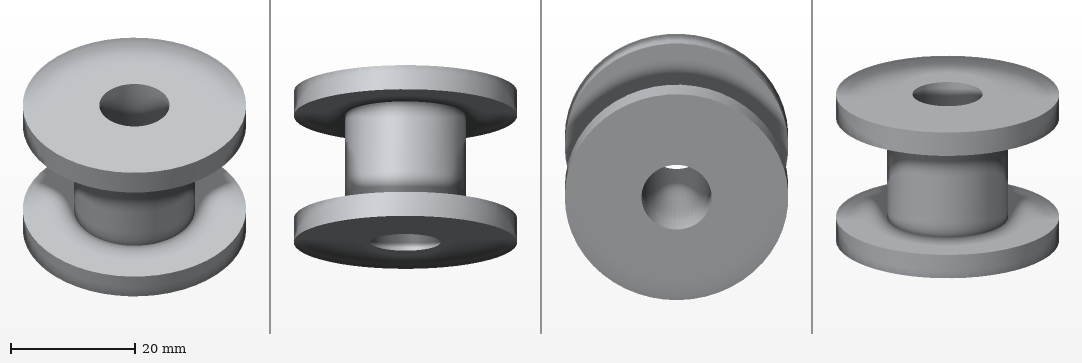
import cadquery as cq

flange_diameter = 36.0
flange_thickness = 4.0
hub_diameter = 19.5
bore_diameter = 11.3
total_height = 25.0

hub_height = total_height - 2 * flange_thickness

spool = (
    cq.Workplane("XY")
    .circle(flange_diameter / 2)
    .extrude(flange_thickness)
    .faces(">Z")
    .workplane()
    .circle(hub_diameter / 2)
    .extrude(hub_height)
    .faces(">Z")
    .workplane()
    .circle(flange_diameter / 2)
    .extrude(flange_thickness)
)

result = spool.faces(">Z").workplane().hole(bore_diameter)